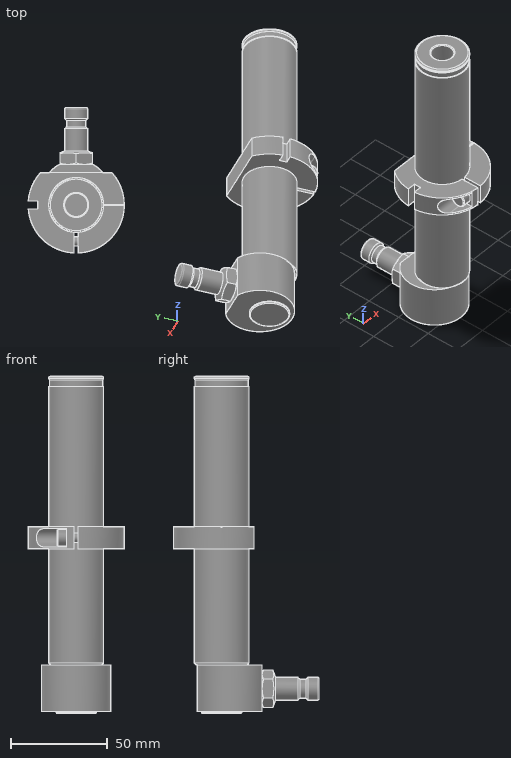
import cadquery as cq
import math


tube_diameter = 28.5
tube_top = 174.9
tube_foot_chamfer = 1.0
cap_chamfer_width = 0.9
cap_chamfer_height = 0.6
cap_rim_height = 0.6
cap_undercut_height = 0.9
neck_depth = 0.4
neck_bottom = 169.6
bore_diameter = 12.0
bore_depth = 20.0
bore_chamfer = 0.5

nub_diameter = 21.0
nub_height = 1.0
nub_chamfer = 0.5
base_diameter = 36.0
base_height = 24.2
base_center_y = 5.3
base_flat_y = 21.0
base_top = nub_height + base_height

connector_z = 12.9
barrel_diameter = 12.0
barrel_end_y = 50.5
barrel_end_fillet = 0.8
groove_diameter = 10.0
groove_start_y = 39.5
groove_end_y = 44.7
groove_depth = (barrel_diameter - groove_diameter) / 2
nut_across_flats = 17.0
nut_across_corners = nut_across_flats / math.cos(math.pi / 6)
nut_length = 7.0
nut_outer_cone_angle = math.radians(21)
nut_inner_cone_angle = math.radians(30)

clamp_diameter = 50.0
clamp_bottom = 85.3
clamp_height = 11.6
clamp_mid_z = clamp_bottom + clamp_height / 2
clamp_flat_y = 16.8
notch_width = 4.0
notch_floor_x = -20.0
front_slit_width = 2.0
index_mark_width = 0.5
index_mark_depth = 0.5

screw_y = -18.9
screw_shaft_diameter = 5.0
screw_head_diameter = 8.5
screw_head_length = 5.0
screw_head_chamfer = 0.5
screw_seat_x = -5.0
screw_tip_x = 10.0
pocket_diameter = 9.5

tube_radius = tube_diameter / 2
clamp_radius = clamp_diameter / 2


def cylinder_z(diameter, bottom, height, y=0.0):
    """Upright cylinder standing on Z = bottom."""
    return cq.Workplane("XY", origin=(0, y, bottom)).circle(diameter / 2).extrude(height)


def cylinder_x(diameter, start_x, end_x):
    """Cylinder along X on the axis of the clamp screw."""
    plane = cq.Workplane("YZ", origin=(start_x, screw_y, clamp_mid_z))
    return plane.circle(diameter / 2).extrude(end_x - start_x)


def block(x_range, y_range, z_range):
    """Box given by its limits along each axis."""
    (x0, x1), (y0, y1), (z0, z1) = x_range, y_range, z_range
    return cq.Workplane("XY").box(x1 - x0, y1 - y0, z1 - z0, centered=False).translate((x0, y0, z0))


def make_tube():
    """Tube with a chamfered cap, a shallow neck below it and a blind bore."""
    neck_radius = tube_radius - neck_depth
    rim_top = tube_top - cap_chamfer_height
    rim_bottom = rim_top - cap_rim_height
    tube = (
        cq.Workplane("XZ")
        .moveTo(0, base_top)
        .lineTo(tube_radius - tube_foot_chamfer, base_top)
        .lineTo(tube_radius, base_top + tube_foot_chamfer)
        .lineTo(tube_radius, neck_bottom)
        .lineTo(neck_radius, neck_bottom)
        .lineTo(neck_radius, rim_bottom - cap_undercut_height)
        .lineTo(tube_radius, rim_bottom)
        .lineTo(tube_radius, rim_top)
        .lineTo(tube_radius - cap_chamfer_width, tube_top)
        .lineTo(0, tube_top)
        .close()
        .revolve(360, (0, 0, 0), (0, 1, 0))
    )
    bore = cylinder_z(bore_diameter, tube_top - bore_depth, bore_depth)
    bored_tube = tube.cut(bore)
    bore_rim = cq.selectors.RadiusNthSelector(0)
    return bored_tube.faces(">Z").edges(bore_rim).chamfer(bore_chamfer)


def make_base():
    """Round block with a flat on its +Y side and a low chamfered nub below."""
    base = cylinder_z(base_diameter, nub_height, base_height, base_center_y)
    beyond_flat = block(
        (-base_diameter, base_diameter),
        (base_flat_y, base_flat_y + base_diameter),
        (0, base_top),
    )
    nub = cylinder_z(nub_diameter, 0, nub_height).faces("<Z").edges().chamfer(nub_chamfer)
    return base.cut(beyond_flat).union(nub)


def make_nut():
    """Hexagon with its corners turned down to cones at both ends."""
    corner_radius = nut_across_corners / 2
    barrel_radius = barrel_diameter / 2
    inner_face_radius = nut_across_flats / 2
    outer_cone_length = (corner_radius - barrel_radius) * math.tan(nut_outer_cone_angle)
    inner_cone_length = (corner_radius - inner_face_radius) * math.tan(nut_inner_cone_angle)
    hexagon = (
        cq.Workplane("XZ", origin=(0, base_flat_y, connector_z))
        .transformed(rotate=(0, 0, 90))
        .polygon(6, nut_across_corners)
        .extrude(-nut_length)
    )
    nut_end_y = base_flat_y + nut_length
    envelope = (
        cq.Workplane("XY", origin=(0, 0, connector_z))
        .moveTo(0, base_flat_y)
        .lineTo(inner_face_radius, base_flat_y)
        .lineTo(corner_radius, base_flat_y + inner_cone_length)
        .lineTo(corner_radius, nut_end_y - outer_cone_length)
        .lineTo(barrel_radius, nut_end_y)
        .lineTo(0, nut_end_y)
        .close()
        .revolve(360, (0, 0, 0), (0, 1, 0))
    )
    return hexagon.intersect(envelope)


def make_barrel():
    """Connector barrel with a tapered locking groove and a rounded end."""
    barrel_radius = barrel_diameter / 2
    groove_radius = groove_diameter / 2
    return (
        cq.Workplane("XY", origin=(0, 0, connector_z))
        .moveTo(0, base_flat_y)
        .lineTo(barrel_radius, base_flat_y)
        .lineTo(barrel_radius, groove_start_y)
        .lineTo(groove_radius, groove_start_y + groove_depth)
        .lineTo(groove_radius, groove_end_y - groove_depth)
        .lineTo(barrel_radius, groove_end_y)
        .lineTo(barrel_radius, barrel_end_y)
        .lineTo(0, barrel_end_y)
        .close()
        .revolve(360, (0, 0, 0), (0, 1, 0))
        .faces(">Y").edges().fillet(barrel_end_fillet)
    )


def make_sensor():
    return make_tube().union(make_base()).union(make_nut()).union(make_barrel())


def make_ring():
    """Ring around the tube with a flat, a notch, a through slit and a shallow index mark on top."""
    clamp_top = clamp_bottom + clamp_height
    z_range = (clamp_bottom, clamp_top)
    mark_z_range = (clamp_top - index_mark_depth, clamp_top)
    ring = cylinder_z(clamp_diameter, clamp_bottom, clamp_height)
    ring = ring.cut(cylinder_z(tube_diameter, clamp_bottom, clamp_height))
    half_front_slit = front_slit_width / 2
    half_mark = index_mark_width / 2
    half_notch = notch_width / 2
    cutters = [
        block((-clamp_radius, clamp_radius), (clamp_flat_y, clamp_radius), z_range),
        block((-clamp_radius, notch_floor_x), (-half_notch, half_notch), z_range),
        block((-half_front_slit, half_front_slit), (-clamp_radius, 0), z_range),
        block((0, clamp_radius), (-half_mark, half_mark), mark_z_range),
    ]
    for cutter in cutters:
        ring = ring.cut(cutter)
    return ring


def make_screw_pocket():
    """Round pocket for the screw head, open towards -Y."""
    half_width = pocket_diameter / 2
    round_part = cylinder_x(pocket_diameter, -clamp_radius, screw_seat_x)
    opening = block(
        (-clamp_radius, screw_seat_x),
        (-clamp_radius, screw_y),
        (clamp_mid_z - half_width, clamp_mid_z + half_width),
    )
    return round_part.union(opening)


def make_screw():
    head = cylinder_x(screw_head_diameter, screw_seat_x - screw_head_length, screw_seat_x)
    head = head.faces("<X").edges().chamfer(screw_head_chamfer)
    shaft = cylinder_x(screw_shaft_diameter, screw_seat_x, screw_tip_x)
    return head.union(shaft)


def make_clamp():
    """Ring with its tightening screw, which bridges the front slit."""
    return make_ring().cut(make_screw_pocket()).union(make_screw())


sensor = make_sensor()
clamp = make_clamp()

result = cq.Compound.makeCompound([sensor.val(), clamp.val()])